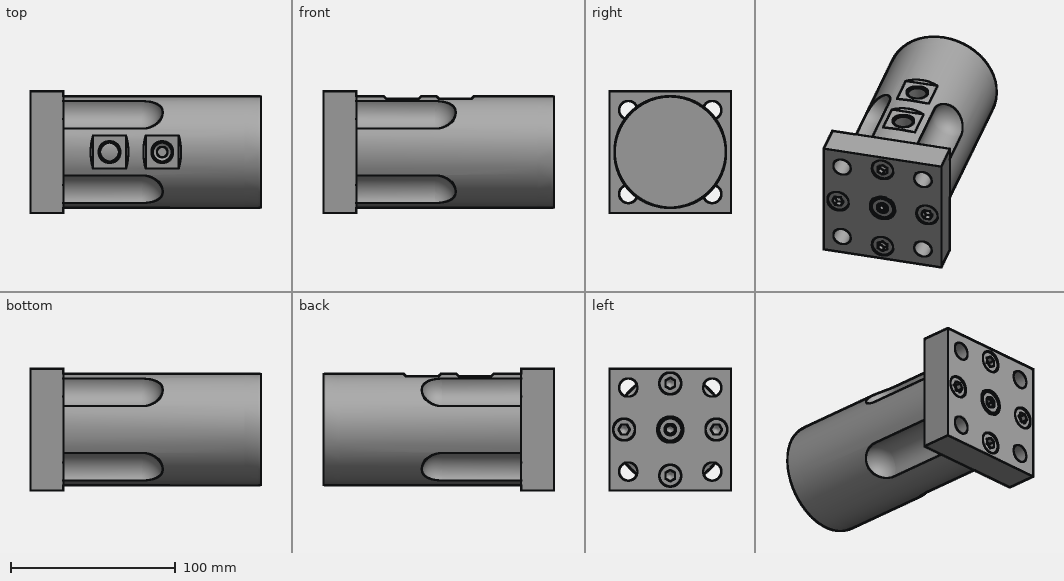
import cadquery as cq
import math

flange_side = 74.0
flange_thickness = 20.0
total_length = 140.0
housing_dia = 68.0
housing_radius = housing_dia / 2

cap_length = 10.0
cap_taper_length = 1.3
cap_taper_angle = 15.0

mount_hole_dia = 11.0
mount_circle_dia = 72.0
corner_angle = 45.0
flute_radius = 12.5
flute_straight_end = 68.0

screw_circle_dia = 56.0
screw_bore_dia = 13.5
screw_head_dia = 13.0
screw_head_round = 0.8
screw_gap_depth = 8.0
screw_hex_width = 6.0
screw_hex_depth = 4.0

plug_bore_dia = 16.0
plug_dia = 14.0
plug_gap_depth = 2.0
plug_edge_chamfer = 0.25
plug_mouth_dia = 7.0
plug_mouth_depth = 1.0
plug_hex_width = 5.0
plug_hex_depth = 5.0

hex_cone_angle = 60.0

seat_length = 20.0
seat_width = 20.0
seat_overshoot = 1.0
seat_height = math.sqrt(housing_radius**2 - (seat_width / 2) ** 2)
blind_port_x = 48.0
stepped_port_x = 80.0
port_dia = 11.45
port_mouth_dia = 13.2
port_depth = 12.0
core_dia = 40.0
port_throat_dia = 6.4
port_throat_depth = 1.5


def cylinder_x(diameter, start, length, y=0.0, z=0.0):
    """Cylinder along +X."""
    return cq.Workplane(cq.Solid.makeCylinder(
        diameter / 2, length, cq.Vector(start, y, z), cq.Vector(1, 0, 0)))


def circle_points(circle_dia, first_angle):
    """Four equally spaced (y, z) places on a circle about the X axis."""
    angles = [math.radians(first_angle + 90 * i) for i in range(4)]
    return [(circle_dia / 2 * math.cos(a), circle_dia / 2 * math.sin(a)) for a in angles]


def make_housing():
    return cylinder_x(housing_dia, flange_thickness, total_length - cap_length - flange_thickness)


def make_cap():
    taper_drop = cap_taper_length * math.tan(math.radians(cap_taper_angle))
    cap = cylinder_x(housing_dia, total_length - cap_length, cap_length)
    return cap.faces(">X").chamfer(cap_taper_length, taper_drop)


def make_flange():
    return cq.Workplane("YZ").rect(flange_side, flange_side).extrude(flange_thickness)


def make_flute(y, z):
    """Round-bottomed groove from the flange, closed by a ball end."""
    groove = cylinder_x(2 * flute_radius, flange_thickness, flute_straight_end - flange_thickness, y, z)
    ball = cq.Workplane("XY").sphere(flute_radius).translate((flute_straight_end, y, z))
    return groove.union(ball)


def make_hex_socket(across_flats, depth):
    """Hexagonal socket on the X axis with corners up and down and a conical bottom."""
    corner_dia = across_flats / math.cos(math.pi / 6)
    cone_height = corner_dia / 2 / math.tan(math.radians(hex_cone_angle))
    prism = (cq.Workplane("YZ")
             .transformed(rotate=(0, 0, 90)).polygon(6, corner_dia).extrude(depth + cone_height))
    pit = cylinder_x(corner_dia, 0, depth).union(cq.Workplane(cq.Solid.makeCone(
        corner_dia / 2, 0, cone_height, cq.Vector(depth, 0, 0), cq.Vector(1, 0, 0))))
    return prism.intersect(pit)


def make_screw_recess():
    """Space around a rounded screw head in its counterbore, plus its socket."""
    head = cylinder_x(screw_head_dia, 0, screw_gap_depth)
    head = head.faces("<X").edges().fillet(screw_head_round)
    gap = cylinder_x(screw_bore_dia, 0, screw_gap_depth).cut(head)
    return gap.union(make_hex_socket(screw_hex_width, screw_hex_depth))


def make_plug_recess():
    """Ring gap around the centre plug, plus its countersunk socket."""
    plug = cylinder_x(plug_dia, 0, plug_gap_depth).faces("<X").chamfer(plug_edge_chamfer)
    gap = cylinder_x(plug_bore_dia, 0, plug_gap_depth).cut(plug)
    mouth = cq.Workplane(cq.Solid.makeCone(
        plug_mouth_dia / 2, plug_hex_width / 2, plug_mouth_depth, cq.Vector(0, 0, 0), cq.Vector(1, 0, 0)))
    return gap.union(mouth).union(make_hex_socket(plug_hex_width, plug_hex_depth))


def make_seat(center_x):
    """Cutter for a flat port seat with 45 degree end walls."""
    rise = housing_radius - seat_height + seat_overshoot
    half_bottom = seat_length / 2
    half_top = half_bottom + rise
    return (cq.Workplane("XZ", origin=(center_x, 0, seat_height))
            .polyline([(-half_bottom, 0), (half_bottom, 0), (half_top, rise), (-half_top, rise)])
            .close().extrude(seat_width / 2, both=True))


def port_cone(center_x, depth, bottom_dia, top_dia, height):
    """Cone frustum standing on a port axis, its base at a depth below the seat."""
    return cq.Workplane(cq.Solid.makeCone(
        bottom_dia / 2, top_dia / 2, height,
        cq.Vector(center_x, 0, seat_height - depth), cq.Vector(0, 0, 1)))


def make_port(center_x, depth):
    """Port with a 45 degree chamfered mouth."""
    bore = cq.Workplane("XY", origin=(center_x, 0, seat_height)).circle(port_dia / 2).extrude(-depth)
    mouth_height = (port_mouth_dia - port_dia) / 2
    return bore.union(port_cone(center_x, mouth_height, port_dia, port_mouth_dia, mouth_height))


def make_blind_port(center_x):
    """Port that ends on the rounded surface of the inner core."""
    core = cylinder_x(core_dia, center_x - seat_length / 2, seat_length)
    return make_port(center_x, seat_height).cut(core)


def make_stepped_port(center_x):
    """Port that narrows through a cone to a flat bottom."""
    throat = port_cone(center_x, port_depth + port_throat_depth, port_throat_dia, port_dia, port_throat_depth)
    return make_port(center_x, port_depth).union(throat)


housing = make_housing()
for y, z in circle_points(mount_circle_dia, corner_angle):
    housing = housing.cut(make_flute(y, z))
for port_x in (blind_port_x, stepped_port_x):
    housing = housing.cut(make_seat(port_x))
housing = housing.cut(make_blind_port(blind_port_x)).cut(make_stepped_port(stepped_port_x))

flange = make_flange()
for y, z in circle_points(mount_circle_dia, corner_angle):
    flange = flange.cut(cylinder_x(mount_hole_dia, 0, flange_thickness, y, z))
for y, z in circle_points(screw_circle_dia, 0):
    turn = 90 if abs(y) > abs(z) else 0
    recess = make_screw_recess().rotate((0, 0, 0), (1, 0, 0), turn)
    flange = flange.cut(recess.translate((0, y, z)))
flange = flange.cut(make_plug_recess())

result = flange.union(housing).union(make_cap(), clean=False)